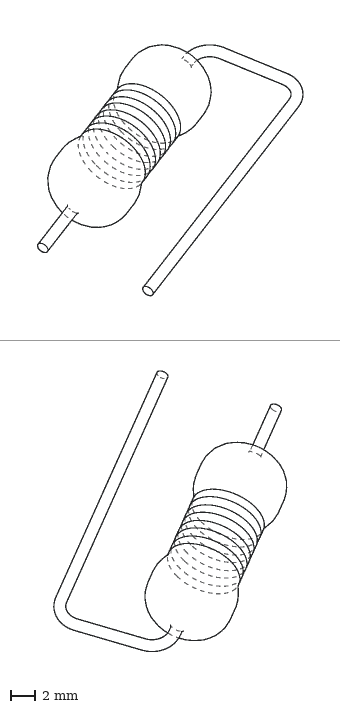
import cadquery as cq
import math

wire_diameter = 1.0
wire_radius = wire_diameter / 2
lead_pitch = 10.0
bend_radius = 2 * wire_diameter
overall_length = 27.1

body_length = 18.0
body_start = 5.6
body_center = body_start + body_length / 2
bulb_radius = 7.5 / 2
flare_radius = 0.73
dome_radius = bulb_radius - wire_radius - flare_radius
bulb_land = 1.22

barrel_radius = 6.37 / 2
band_radius = 6.4 / 2
band_width = 0.8
band_gap = 0.9
band_count = 4
band_pitch = band_width + band_gap
barrel_end_y = (band_count * band_pitch - band_gap) / 2
barrel_core_y = barrel_end_y - band_width

diagonal = math.sqrt(0.5)


def make_body_end():
    """Revolve the profile from the outermost band to the tip of the wire flare, towards +Y."""
    end_y = body_length / 2
    land_outer_y = end_y - dome_radius
    land_inner_y = land_outer_y - bulb_land
    waist_radius = (barrel_radius + bulb_radius) / 2
    waist_y = (barrel_end_y + land_inner_y) / 2
    flare_edge_radius = wire_radius + flare_radius
    flare_tip_y = end_y + flare_radius
    dome_mid = (
        flare_edge_radius + dome_radius * diagonal,
        land_outer_y + dome_radius * diagonal,
    )
    flare_mid = (
        flare_edge_radius - flare_radius * diagonal,
        flare_tip_y - flare_radius * diagonal,
    )
    profile = (
        cq.Workplane("XY")
        .moveTo(0, barrel_core_y)
        .lineTo(barrel_radius, barrel_core_y)
        .lineTo(barrel_radius, barrel_end_y)
        .tangentArcPoint((waist_radius, waist_y), relative=False)
        .tangentArcPoint((bulb_radius, land_inner_y), relative=False)
        .lineTo(bulb_radius, land_outer_y)
        .threePointArc(dome_mid, (flare_edge_radius, end_y))
        .threePointArc(flare_mid, (wire_radius, flare_tip_y))
        .lineTo(0, flare_tip_y)
        .close()
    )
    return profile.revolve(360, (0, 0), (0, 1))


def make_cylinder(radius, start_y, length):
    """Cylinder about the Y axis, running towards +Y."""
    return cq.Workplane("XZ", origin=(0, start_y, 0)).circle(radius).extrude(-length)


def make_body():
    body_end = make_body_end()
    barrel_core = make_cylinder(barrel_radius, -barrel_core_y, 2 * barrel_core_y)
    body = barrel_core.union(body_end).union(body_end.mirror("XZ"))
    first_center = -(band_count - 1) * band_pitch / 2
    for index in range(band_count):
        band_start = first_center + index * band_pitch - band_width / 2
        band = make_cylinder(band_radius, band_start, band_width)
        body = body.union(band)
    return body.translate((0, body_center, 0))


def make_wire():
    """Sweep the wire through the body, over the two bends and back down."""
    top_y = overall_length - wire_radius
    bend_y = top_y - bend_radius
    bend_mid_offset = bend_radius * (1 - diagonal)
    path = (
        cq.Workplane("XY")
        .lineTo(0, bend_y)
        .threePointArc((bend_mid_offset, top_y - bend_mid_offset), (bend_radius, top_y))
        .lineTo(lead_pitch - bend_radius, top_y)
        .threePointArc((lead_pitch - bend_mid_offset, top_y - bend_mid_offset), (lead_pitch, bend_y))
        .lineTo(lead_pitch, 0)
    )
    return cq.Workplane("XZ").circle(wire_radius).sweep(path)


result = make_body().union(make_wire())